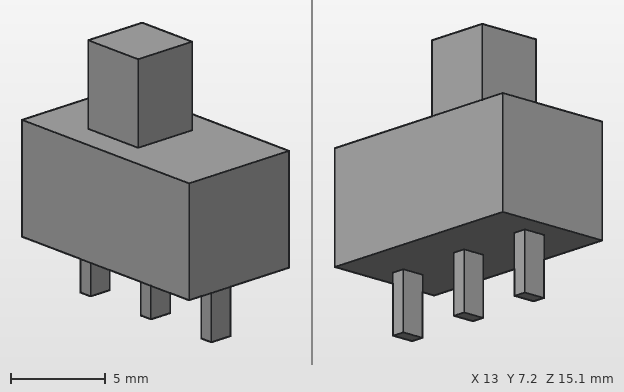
import cadquery as cq

body_length = 13.0
body_width = 7.2
body_height = 6.6

knob_side = 3.9
knob_height = 5.0
knob_offset_x = -1.2

pin_count = 3
pin_pitch = 4.7
pin_thickness = 0.8
pin_width = 1.39
total_height = 15.1
pin_length = total_height - body_height - knob_height


def block(length, width, height, center_x, bottom_z):
    """Upright box centred on Y, standing on bottom_z."""
    box = cq.Workplane("XY").box(length, width, height, centered=(True, True, False))
    return box.translate((center_x, 0, bottom_z))


body = block(body_length, body_width, body_height, 0, 0)
knob = block(knob_side, knob_side, knob_height, knob_offset_x, body_height)
result = body.union(knob)

for index in range(pin_count):
    pin_x = (index - (pin_count - 1) / 2) * pin_pitch
    pin = block(pin_thickness, pin_width, pin_length, pin_x, -pin_length)
    result = result.union(pin)